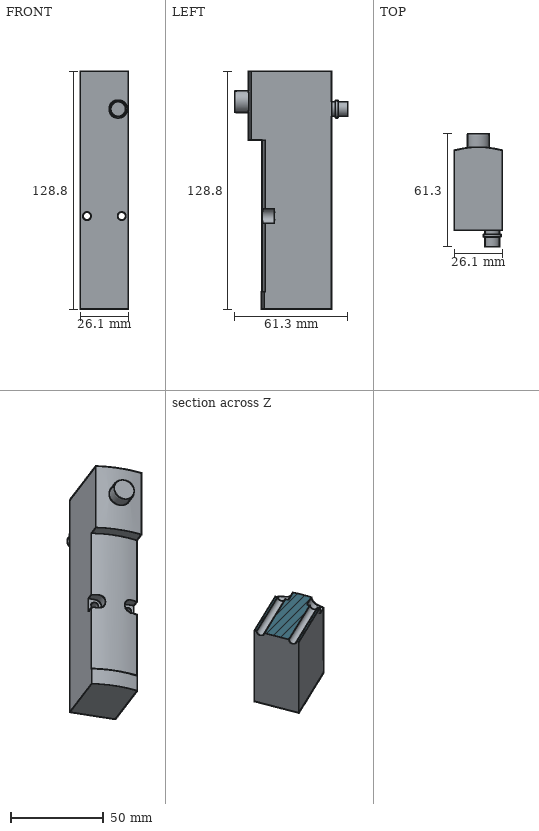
import cadquery as cq

width = 26.1
height = 128.8
base_height = 9.3
head_bottom = 91.5

base_edge, base_crown = 36.5, 38.1
trunk_edge, trunk_crown = 35.9, 37.9
head_edge, head_crown = 43.4, 45.1

hole_diameter = 4.3
hole_offset = 9.4
hole_height = 50.4
slot_width = 7.7
slot_floor = 30.9

connector_diameter = 12.0
connector_height = 112.3
connector_end = 52.4
connector_taper_length = 1.2
connector_taper_depth = 0.3

pin_diameter = 8.0
pin_x = 7.5
pin_height = 108.3
pin_length = 8.9
collar_diameter = 9.8
collar_start = 2.0
collar_width = 1.5


def crowned_block(edge_depth, crown_depth, bottom, top):
    """Block with a flat front and a rear face bulging along an arc."""
    half = width / 2
    return (
        cq.Workplane("XY", origin=(0, 0, bottom))
        .moveTo(-half, 0)
        .lineTo(half, 0)
        .lineTo(half, edge_depth)
        .threePointArc((0, crown_depth), (-half, edge_depth))
        .close()
        .extrude(top - bottom)
    )


def cylinder_along_y(diameter, x, z, start, end):
    """Round bar parallel to Y between two Y positions."""
    plane = cq.Plane(origin=(x, start, z), xDir=(1, 0, 0), normal=(0, 1, 0))
    return cq.Workplane(plane).circle(diameter / 2).extrude(end - start)


def mounting_cut(side):
    """Through hole and U-shaped slot on the side given by -1 or +1 in X."""
    x = side * hole_offset
    hole = cylinder_along_y(hole_diameter, x, hole_height, 0, trunk_crown)
    slot_end = cylinder_along_y(slot_width, x, hole_height, slot_floor, trunk_crown)
    slot_depth = trunk_crown - slot_floor
    slot_mouth = cq.Workplane("XY").box(width / 2, slot_depth, slot_width).translate(
        (x + side * width / 4, slot_floor + slot_depth / 2, hole_height)
    )
    return hole.union(slot_end).union(slot_mouth)


def rear_connector():
    """Round connector with a short taper at its free end, rooted inside the head."""
    radius = connector_diameter / 2
    root = head_edge
    return (
        cq.Workplane("XY", origin=(0, 0, connector_height))
        .moveTo(0, root)
        .lineTo(radius, root)
        .lineTo(radius, connector_end - connector_taper_length)
        .lineTo(radius - connector_taper_depth, connector_end)
        .lineTo(0, connector_end)
        .close()
        .revolve(360, (0, 0, 0), (0, 1, 0))
    )


def front_pin():
    """Plain pin carrying a collar with an arc-shaped rim."""
    radius = pin_diameter / 2
    collar_end = collar_start + collar_width
    collar_middle = collar_start + collar_width / 2
    return (
        cq.Workplane("XY", origin=(pin_x, 0, pin_height))
        .lineTo(radius, 0)
        .lineTo(radius, -collar_start)
        .threePointArc((collar_diameter / 2, -collar_middle), (radius, -collar_end))
        .lineTo(radius, -pin_length)
        .lineTo(0, -pin_length)
        .close()
        .revolve(360, (0, 0, 0), (0, 1, 0))
    )


base = crowned_block(base_edge, base_crown, 0, base_height)
trunk = crowned_block(trunk_edge, trunk_crown, base_height, head_bottom)
head = crowned_block(head_edge, head_crown, head_bottom, height)

result = base.union(trunk).union(head)
for side in (-1, 1):
    result = result.cut(mounting_cut(side))
result = result.union(rear_connector()).union(front_pin())